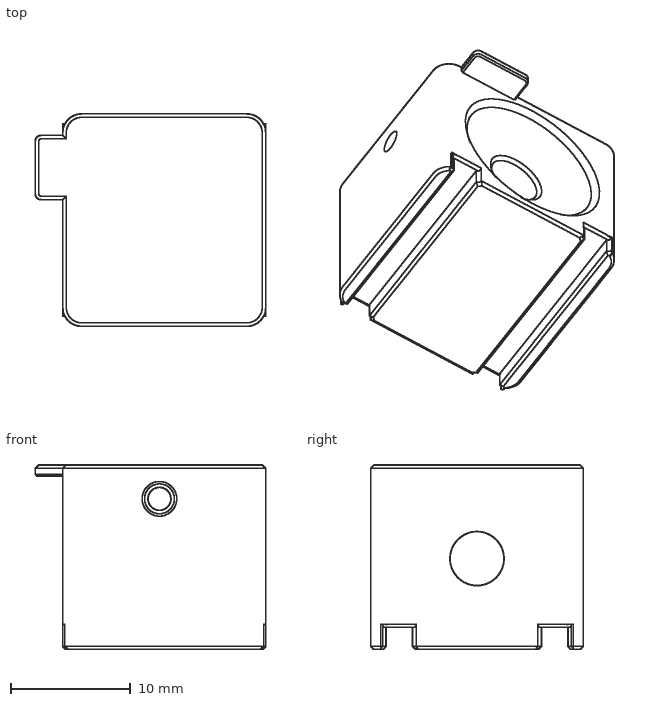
import cadquery as cq
BLOCK_X = 17.0
BLOCK_Y = 17.8
HEIGHT = 15.45
CORNER_RADIUS = 1.6
TOP_CHAMFER = 0.3
BOTTOM_CHAMFER = 0.25

TAB_LENGTH = 2.3
TAB_Y_MIN = 1.7
TAB_Y_MAX = 7.1
TAB_THICKNESS = 0.95
TAB_CORNER_RADIUS = 0.5
TAB_LOWER_CHAMFER = 0.15

BORE_Z = 7.6
RECESS_DIAMETER = 12.4
RECESS_DEPTH = 2.5
RECESS_CHAMFER = 0.5
RECESS_FLOOR_RADIUS = 0.5
BORE_DIAMETER = 4.5
BORE_CHAMFER = 0.3

CROSS_HOLE_X = -0.4
CROSS_HOLE_Z = HEIGHT - 2.85
CROSS_HOLE_DIAMETER = 1.9
CROSS_HOLE_CHAMFER = 0.2
LEAD_IN_DIAMETER = 2.5
LEAD_IN_DEPTH = 1.0

SLOT_Y_INNER = 5.4
SLOT_Y_OUTER = 7.6
SLOT_HEIGHT = 1.85
SLOT_MOUTH_RADIUS = 0.3
SLOT_MOUTH_CHAMFER = 0.25

STRIP_Y_OUTER = 8.05
STRIP_HEIGHT = SLOT_HEIGHT + SLOT_MOUTH_CHAMFER

LEFT_X = -BLOCK_X / 2
FRONT_Y = -BLOCK_Y / 2


def box_between(x_range, y_range, z_range):
    """Axis-aligned box spanning the given (low, high) ranges."""
    sizes = [high - low for low, high in (x_range, y_range, z_range)]
    lows = (x_range[0], y_range[0], z_range[0])
    return cq.Workplane("XY").box(*sizes, centered=False).translate(lows)


def make_block():
    """Block with rounded upright corners and a chamfered foot."""
    block = cq.Workplane("XY").box(BLOCK_X, BLOCK_Y, HEIGHT, centered=(True, True, False))
    block = block.edges("|Z").fillet(CORNER_RADIUS)
    return block.faces("<Z").edges().chamfer(BOTTOM_CHAMFER)


def make_tab():
    """Tab with rounded free corners; it reaches into the block for a sound joint."""
    tab = box_between(
        (LEFT_X - TAB_LENGTH, LEFT_X + CORNER_RADIUS),
        (TAB_Y_MIN, TAB_Y_MAX),
        (HEIGHT - TAB_THICKNESS, HEIGHT),
    )
    tab = tab.edges("|Z and <X").fillet(TAB_CORNER_RADIUS)
    return tab.faces("<Z").edges().chamfer(TAB_LOWER_CHAMFER)


def mirrored_pair(shape):
    return shape.union(shape.mirror("XZ"))


def make_strips():
    strip = box_between(
        (LEFT_X, -LEFT_X), (SLOT_Y_OUTER, STRIP_Y_OUTER), (0, STRIP_HEIGHT)
    )
    return mirrored_pair(strip)


def make_slots():
    """Slot cutters whose mouths flare: rounded at the walls, chamfered at the ceiling."""
    radius = SLOT_MOUTH_RADIUS
    end = BLOCK_X / 2
    wall_end = end - radius
    ceiling_end = end - SLOT_MOUTH_CHAMFER
    mouth_top = SLOT_HEIGHT + SLOT_MOUTH_CHAMFER
    plan = (
        cq.Workplane("XY")
        .moveTo(-end, SLOT_Y_INNER - radius)
        .radiusArc((-wall_end, SLOT_Y_INNER), -radius)
        .lineTo(wall_end, SLOT_Y_INNER)
        .radiusArc((end, SLOT_Y_INNER - radius), -radius)
        .lineTo(end, SLOT_Y_OUTER + radius)
        .radiusArc((wall_end, SLOT_Y_OUTER), -radius)
        .lineTo(-wall_end, SLOT_Y_OUTER)
        .radiusArc((-end, SLOT_Y_OUTER + radius), -radius)
        .close()
        .extrude(mouth_top)
    )
    side_outline = [
        (-end, 0),
        (-end, mouth_top),
        (-ceiling_end, SLOT_HEIGHT),
        (ceiling_end, SLOT_HEIGHT),
        (end, mouth_top),
        (end, 0),
    ]
    side = cq.Workplane("XZ").polyline(side_outline).close().extrude(-BLOCK_Y)
    return mirrored_pair(plan.intersect(side))


def make_slotted_envelope():
    """Square-cornered block with the slots and a chamfered foot."""
    envelope = cq.Workplane("XY").box(BLOCK_X, BLOCK_Y, HEIGHT, centered=(True, True, False))
    envelope = envelope.cut(make_slots())
    return envelope.faces("<Z").edges().chamfer(BOTTOM_CHAMFER)


def make_bore():
    """Cutter along +X: chamfered recess with a rounded floor, then a chamfered through bore."""
    recess_radius = RECESS_DIAMETER / 2
    bore_radius = BORE_DIAMETER / 2
    floor_radius = RECESS_FLOOR_RADIUS
    plane = cq.Plane(origin=(LEFT_X, 0, BORE_Z), xDir=(0, 0, -1), normal=(0, -1, 0))
    profile = (
        cq.Workplane(plane)
        .moveTo(0, 0)
        .lineTo(recess_radius + RECESS_CHAMFER, 0)
        .lineTo(recess_radius, RECESS_CHAMFER)
        .lineTo(recess_radius, RECESS_DEPTH - floor_radius)
        .radiusArc((recess_radius - floor_radius, RECESS_DEPTH), -floor_radius)
        .lineTo(bore_radius + BORE_CHAMFER, RECESS_DEPTH)
        .lineTo(bore_radius, RECESS_DEPTH + BORE_CHAMFER)
        .lineTo(bore_radius, BLOCK_X)
        .lineTo(0, BLOCK_X)
        .close()
    )
    return profile.revolve(360, (0, 0), (0, 1))


def make_cross_hole():
    """Cutter along +Y: chamfered mouth, tapered lead-in, then a through hole."""
    mouth_radius = LEAD_IN_DIAMETER / 2
    hole_radius = CROSS_HOLE_DIAMETER / 2
    origin = (CROSS_HOLE_X, FRONT_Y, CROSS_HOLE_Z)
    plane = cq.Plane(origin=origin, xDir=(0, 0, -1), normal=(1, 0, 0))
    profile = (
        cq.Workplane(plane)
        .moveTo(0, 0)
        .lineTo(mouth_radius + CROSS_HOLE_CHAMFER, 0)
        .lineTo(mouth_radius, CROSS_HOLE_CHAMFER)
        .lineTo(hole_radius, LEAD_IN_DEPTH)
        .lineTo(hole_radius, BLOCK_Y)
        .lineTo(0, BLOCK_Y)
        .close()
    )
    return profile.revolve(360, (0, 0), (0, 1))


body = make_block().union(make_strips()).intersect(make_slotted_envelope())
body = body.union(make_tab())
body = body.faces(">Z").edges().chamfer(TOP_CHAMFER)
result = body.cut(make_bore()).cut(make_cross_hole())